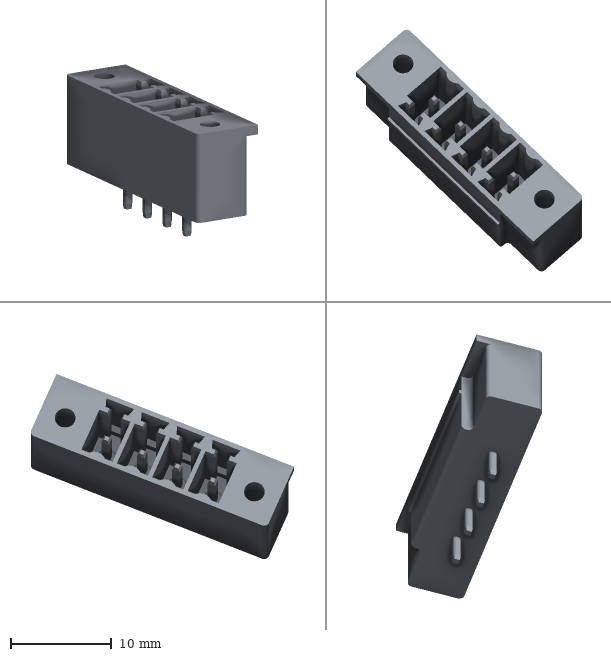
import cadquery as cq


length = 25.63
front_y = -3.0
back_y = 4.0
height = 9.2
front_corner_radius = 0.5
back_bottom_radius = 0.49

flange_thickness = 1.0
relief_front_y = 2.9
relief_inner_x = 8.0
relief_edge_radius = 0.49

rib_length = 16.0
rib_projection = 0.25
rib_top_z = 6.0
rib_root_height = 0.5
rib_tip_height = 0.44

screw_hole_spacing = 20.4
screw_hole_radius = 1.03
screw_hole_depth = 5.13

contact_count = 4
pitch = 3.82
cell_width = 3.35
cell_front_y = -2.5
cell_back_y = 2.13
cell_floor_z = 2.0
lead_in_depth = 0.5
lead_in_width = 0.15
front_lead_in_width = 0.23

neck_width = 1.61
head_front_y = 2.65
head_back_y = 3.5
head_front_width = 2.43
head_back_width = 3.0
key_slot_floor_z = 3.0
key_slot_floor_front_y = 2.72

cell_rib_centre_y = -3.25
cell_rib_radius = 1.25
cell_rib_lead_in = 0.13

collar_bottom_radius = 1.15
collar_top_radius = 0.87
collar_height = 0.5

pin_width = 0.8
pin_edge_chamfer = 0.15
pin_top_z = 8.0
pin_bottom_z = -3.4
pin_top_tip_width = 0.4
pin_top_tip_height = 0.4
pin_bottom_tip_width = 0.55
pin_bottom_tip_height = 0.62

contact_xs = [(index - (contact_count - 1) / 2) * pitch for index in range(contact_count)]


def box(x_size, y_from, y_to, z_from, z_to):
    """Block centred on X = 0 between the given Y and Z limits."""
    return (
        cq.Workplane("XY", origin=(0, (y_from + y_to) / 2, z_from))
        .box(x_size, y_to - y_from, z_to - z_from, centered=(True, True, False))
    )


def block():
    body = box(length, front_y, back_y, 0, height)
    body = body.edges("|Z and <Y").fillet(front_corner_radius)
    return body.edges("<Z and >Y").fillet(back_bottom_radius)


def corner_relief():
    """Space under the flange at the +X back corner, with a rounded edge and a rounded root."""
    end_x = length / 2
    radius = relief_edge_radius
    return (
        cq.Workplane("XY")
        .moveTo(end_x, relief_front_y - radius)
        .radiusArc((end_x - radius, relief_front_y), -radius)
        .lineTo(relief_inner_x + radius, relief_front_y)
        .radiusArc((relief_inner_x, relief_front_y + radius), radius)
        .lineTo(relief_inner_x, back_y)
        .lineTo(end_x, back_y)
        .close()
        .extrude(height - flange_thickness)
    )


def back_rib():
    """Rib with a level top and a sloping underside."""
    tip_y = back_y + rib_projection
    return (
        cq.Workplane("YZ", origin=(-rib_length / 2, 0, 0))
        .moveTo(back_y, rib_top_z)
        .lineTo(tip_y, rib_top_z)
        .lineTo(tip_y, rib_top_z - rib_tip_height)
        .lineTo(back_y, rib_top_z - rib_root_height)
        .close()
        .extrude(rib_length)
    )


def screw_holes():
    return (
        cq.Workplane("XY", origin=(0, 0, height - screw_hole_depth))
        .rarray(screw_hole_spacing, 0.25, 2, 1)
        .circle(screw_hole_radius)
        .extrude(screw_hole_depth)
    )


def cell_outline(inset, front_inset):
    """Corners of a cell with its key slot, its front and back walls moved inwards by the insets."""
    head_slope = (head_back_width - head_front_width) / 2 / (head_back_y - head_front_y)
    half_cell = cell_width / 2
    half_neck = neck_width / 2 - inset
    half_head_front = head_front_width / 2 + head_slope * inset
    half_head_back = head_back_width / 2 - head_slope * inset
    right_side = [
        (half_cell, cell_front_y + front_inset),
        (half_cell, cell_back_y - inset),
        (half_neck, cell_back_y - inset),
        (half_neck, head_front_y + inset),
        (half_head_front, head_front_y + inset),
        (half_head_back, head_back_y - inset),
    ]
    left_side = [(-x, y) for x, y in reversed(right_side)]
    return right_side + left_side


def outline_wire(points, z):
    return cq.Wire.makePolygon([cq.Vector(x, y, z) for x, y in points], close=True)


def cell_rib():
    """Upright half-round rib with a conical lead-in at its top."""
    lead_in_z = height - lead_in_depth
    top_radius = cell_rib_radius - cell_rib_lead_in
    return (
        cq.Workplane("XZ", origin=(0, cell_rib_centre_y, 0))
        .moveTo(0, 0)
        .lineTo(cell_rib_radius, 0)
        .lineTo(cell_rib_radius, lead_in_z)
        .lineTo(top_radius, height)
        .lineTo(0, height)
        .close()
        .revolve(360, (0, 0), (0, 1))
    )


def collar():
    """Tapered collar around the pin, standing on the cell floor."""
    base_centre = cq.Vector(0, 0, cell_floor_z)
    cone = cq.Solid.makeCone(collar_bottom_radius, collar_top_radius, collar_height, base_centre)
    return cq.Workplane(cone)


def cell_cavity():
    """Space to remove for one cell: the well, its key slot and the lead-in around its mouth."""
    lead_in_z = height - lead_in_depth
    inner_points = cell_outline(lead_in_width, front_lead_in_width)
    inner_wire = outline_wire(inner_points, lead_in_z)
    mouth_wire = outline_wire(cell_outline(0, 0), height)
    lead_in = cq.Workplane(cq.Solid.makeLoft([inner_wire, mouth_wire], True))
    shaft = (
        cq.Workplane("XY", origin=(0, 0, cell_floor_z))
        .polyline(inner_points)
        .close()
        .extrude(lead_in_z - cell_floor_z)
    )
    slot_step = box(cell_width, key_slot_floor_front_y, head_back_y, cell_floor_z, key_slot_floor_z)
    return shaft.union(lead_in).cut(slot_step).cut(cell_rib()).cut(collar())


def tapered_tip(base_width, end_width, base_z, end_z):
    """Square pyramid stump that closes one end of a pin."""
    base = cq.Workplane("XY", origin=(0, 0, base_z)).rect(base_width, base_width)
    return base.workplane(offset=end_z - base_z).rect(end_width, end_width).loft(combine=True)


def square_bar(z_from, z_to):
    return box(pin_width, -pin_width / 2, pin_width / 2, z_from, z_to)


def pin_head():
    """Square upper part of a pin, inside the housing, with a tapered top."""
    tip_base_z = pin_top_z - pin_top_tip_height
    tip = tapered_tip(pin_width, pin_top_tip_width, tip_base_z, pin_top_z)
    return square_bar(0, tip_base_z).union(tip)


def pin_tail():
    """Lower part of a pin, below the housing, with bevelled edges and a tapered end."""
    tip_base_z = pin_bottom_z + pin_bottom_tip_height
    tip = tapered_tip(pin_width, pin_bottom_tip_width, tip_base_z, pin_bottom_z)
    bevelled_bar = square_bar(pin_bottom_z, 0).edges("|Z").chamfer(pin_edge_chamfer)
    return square_bar(tip_base_z, 0).union(tip).intersect(bevelled_bar)


def contact_pin():
    return pin_head().union(pin_tail())


def housing_body(pins):
    """Housing with its cells, screw holes and a matching hole for every pin."""
    relief = corner_relief()
    body = block().cut(relief).cut(relief.mirror("YZ"))
    body = body.union(back_rib()).cut(screw_holes())
    for x in contact_xs:
        body = body.cut(cell_cavity().translate((x, 0, 0)))
    for pin in pins:
        body = body.cut(pin)
    return body


contact_pins = [contact_pin().translate((x, 0, 0)) for x in contact_xs]
housing = housing_body(contact_pins)

housing_solid = housing.solids().val()
pin_solids = [pin.solids().val() for pin in contact_pins]
result = cq.Compound.makeCompound([housing_solid, *pin_solids])